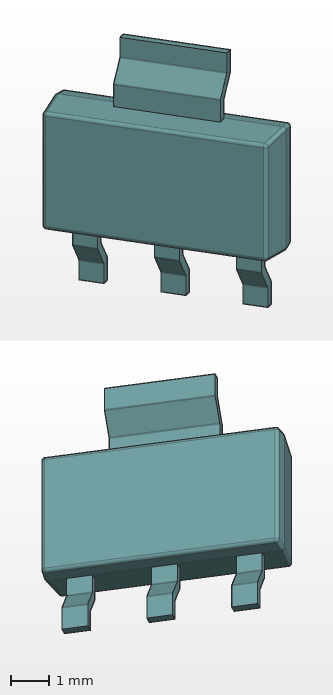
import cadquery as cq
import math


housing_width = 6.5
housing_height = 3.49
housing_depth = 1.6
overall_height = 7.0

parting_depth = 0.46
draft_angle = 5.0
edge_radius = 0.1

strip_thickness = 0.25
bend_angle = 38.0
bend_radius = 0.04
foot_length = 0.56

tab_width = 3.0
lead_width = 0.7
lead_pitch = 2.3
lead_count = 3


def drafted_half(depth):
    """Half of the housing, tapering from the parting plane over a signed depth along -Y."""
    half = (
        cq.Workplane("XZ")
        .rect(housing_width, housing_height)
        .extrude(abs(depth), taper=draft_angle)
    )
    if depth < 0:
        half = half.mirror("XZ")
    return half.translate((0, -parting_depth, 0))


def make_housing():
    """Housing with every edge rounded except the parting line."""
    front_half = drafted_half(housing_depth - parting_depth)
    back_half = drafted_half(-parting_depth)
    block = front_half.union(back_half)
    parting_reach = 0.01
    parting_edges = cq.selectors.BoxSelector(
        (-housing_width, -parting_depth - parting_reach, -housing_height),
        (housing_width, -parting_depth + parting_reach, housing_height),
    )
    parting_free = cq.selectors.InverseSelector(parting_edges)
    return block.edges(parting_free).fillet(edge_radius)


def make_strip(width, center_x, housing):
    """Z-bent strip pointing up, from its flat foot at Y = 0 down to the housing surface."""
    foot_tip = overall_height / 2
    foot_front_bend = foot_tip - foot_length
    shoulder_front_bend = foot_front_bend - parting_depth / math.tan(math.radians(bend_angle))
    back_bend_shift = strip_thickness * math.tan(math.radians(bend_angle / 2))
    inner_end = housing_height / 2 - strip_thickness
    strip = (
        cq.Workplane("YZ")
        .moveTo(0, foot_tip)
        .lineTo(-strip_thickness, foot_tip)
        .lineTo(-strip_thickness, foot_front_bend)
        .lineTo(-parting_depth - strip_thickness, shoulder_front_bend)
        .lineTo(-parting_depth - strip_thickness, inner_end)
        .lineTo(-parting_depth, inner_end)
        .lineTo(-parting_depth, shoulder_front_bend - back_bend_shift)
        .lineTo(0, foot_front_bend - back_bend_shift)
        .close()
        .extrude(width / 2, both=True)
    )
    bend_edges = strip.edges(
        cq.selectors.BoxSelector(
            (-width, -housing_depth, housing_height / 2),
            (width, housing_depth, foot_tip - strip_thickness),
        )
    ).edges("|X")
    return bend_edges.fillet(bend_radius).translate((center_x, 0, 0)).cut(housing)


housing = make_housing()
tab = make_strip(tab_width, 0, housing)

leads = []
for index in range(lead_count):
    lead_x = (index - (lead_count - 1) / 2) * lead_pitch
    upward_lead = make_strip(lead_width, lead_x, housing)
    leads.append(upward_lead.mirror("XY"))

result = cq.Compound.makeCompound([housing.val(), tab.val(), *[lead.val() for lead in leads]])